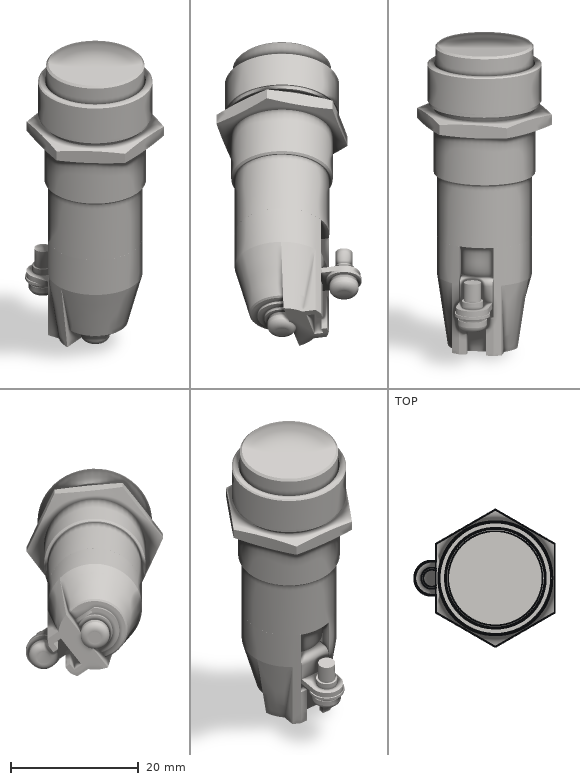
import cadquery as cq
import math


BEZEL_RADIUS = 8.95
BEZEL_TOP = 6.52
BEZEL_CHAMFER_WIDTH = 0.25
BEZEL_CHAMFER_HEIGHT = 0.18
GASKET_RADIUS = 8.7
GASKET_HEIGHT = 0.6
NECK_RADIUS = 7.95
NECK_BOTTOM = -11.45
NECK_CHAMFER = 0.3
BARREL_RADIUS = 7.4
BARREL_BOTTOM = -21.5

BUTTON_RADIUS = 7.7
BUTTON_TOP = 9.53
BUTTON_CHAMFER = 0.33
BUTTON_CLEARANCE = 0.2
POCKET_FLOOR = GASKET_HEIGHT

NUT_ACROSS_CORNERS = 21.5
NUT_TURN = 30.0
NUT_TOP = -0.83
NUT_THICKNESS = 2.6
NUT_SLOPE_ANGLE = 10.0

BASE_RADIUS = BARREL_RADIUS
TAPER_TOP = -27.7
CONE_BOTTOM = -36.45
CONE_ANGLE = 15.0
CONE_EDGE_CHAMFER = 0.22
WING_BOTTOM = -39.0
WING_END_RADIUS = 5.75
WING_FRONT_X = -1.5
RAIL_HALF_WIDTH = 3.95

SLOT_HALF_WIDTH = 2.75
SLOT_EDGE_X = -math.sqrt(BASE_RADIUS**2 - SLOT_HALF_WIDTH**2)
SLOT_BACK_X = -4.55
CORE_RADIUS = 5.2
CORE_CLEARANCE = 0.6
LIP_TOP = -32.9
LIP_THICKNESS = 0.9
LIP_GAP_HALF_WIDTH = 1.57

BLOCK_HALF_WIDTH = 2.6
BLOCK_TOP = -26.7
BLOCK_EDGE_RADIUS = 1.0
TAB_HALF_WIDTH = 2.58
TAB_TOP = -30.4
TAB_THICKNESS = 0.9
SIDE_SCREW_X = -9.93

PLATE_RADIUS = 3.84
PLATE_THICKNESS = 0.42
PLATE_FLAT_HALF_LENGTH = 2.17
NOTCH_HALF_LENGTH = 1.5

WASHER_RADIUS = 2.77
WASHER_THICKNESS = 0.45
SPRING_RADIUS = 2.1
SPRING_THICKNESS = 0.6
HEAD_RADIUS = 2.27
HEAD_STRAIGHT = 0.85
HEAD_DOME = 0.9
HEAD_FLAT_RADIUS = 1.0
COLLAR_RADIUS = 1.66
COLLAR_HEIGHT = 1.05
SHANK_RADIUS = 1.33
SHANK_TOP = -26.4


def cylinder(radius, bottom, top):
    return cq.Workplane("XY").workplane(offset=bottom).circle(radius).extrude(top - bottom)


def block(x_range, half_width, z_range):
    """Box symmetric about the XZ plane."""
    length = x_range[1] - x_range[0]
    height = z_range[1] - z_range[0]
    box = cq.Workplane("XY").box(length, 2 * half_width, height, centered=(False, True, False))
    return box.translate((x_range[0], 0, z_range[0]))


def revolved(outline):
    """Full turn about Z of an XZ outline that starts and ends on the axis."""
    return outline.close().revolve(360, (0, 0, 0), (0, 1, 0))


def cone(top_radius, bottom_radius, bottom, top):
    outline = cq.Workplane("XZ").moveTo(0, bottom).lineTo(bottom_radius, bottom)
    return revolved(outline.lineTo(top_radius, top).lineTo(0, top))


def make_housing():
    outline = (
        cq.Workplane("XZ")
        .moveTo(0, BARREL_BOTTOM)
        .lineTo(BARREL_RADIUS, BARREL_BOTTOM)
        .lineTo(BARREL_RADIUS, NECK_BOTTOM)
        .lineTo(NECK_RADIUS - NECK_CHAMFER, NECK_BOTTOM)
        .lineTo(NECK_RADIUS, NECK_BOTTOM + NECK_CHAMFER)
        .lineTo(NECK_RADIUS, 0)
        .lineTo(GASKET_RADIUS, 0)
        .lineTo(GASKET_RADIUS, GASKET_HEIGHT)
        .lineTo(BEZEL_RADIUS, GASKET_HEIGHT)
        .lineTo(BEZEL_RADIUS, BEZEL_TOP - BEZEL_CHAMFER_HEIGHT)
        .lineTo(BEZEL_RADIUS - BEZEL_CHAMFER_WIDTH, BEZEL_TOP)
        .lineTo(0, BEZEL_TOP)
    )
    housing = revolved(outline)
    return housing.cut(cylinder(BUTTON_RADIUS + BUTTON_CLEARANCE, POCKET_FLOOR, BEZEL_TOP))


def make_button():
    return cylinder(BUTTON_RADIUS, POCKET_FLOOR, BUTTON_TOP).faces(">Z").edges().chamfer(BUTTON_CHAMFER)


def make_nut():
    corner_radius = NUT_ACROSS_CORNERS / 2
    bottom = NUT_TOP - NUT_THICKNESS
    corner_drop = (corner_radius - NECK_RADIUS) * math.tan(math.radians(NUT_SLOPE_ANGLE))
    hexagon = (
        cq.Workplane("XY")
        .workplane(offset=bottom)
        .polygon(6, NUT_ACROSS_CORNERS)
        .extrude(NUT_THICKNESS)
        .rotate((0, 0, 0), (0, 0, 1), NUT_TURN)
    )
    slope_outline = (
        cq.Workplane("XZ")
        .moveTo(0, bottom)
        .lineTo(NECK_RADIUS, bottom)
        .lineTo(corner_radius, bottom + corner_drop)
        .lineTo(corner_radius, NUT_TOP - corner_drop)
        .lineTo(NECK_RADIUS, NUT_TOP)
        .lineTo(0, NUT_TOP)
    )
    return hexagon.intersect(revolved(slope_outline)).cut(cylinder(NECK_RADIUS, bottom, NUT_TOP))


def make_base_shell():
    cone_end_radius = BASE_RADIUS - (TAPER_TOP - CONE_BOTTOM) * math.tan(math.radians(CONE_ANGLE))
    front_cone = cone(BASE_RADIUS, cone_end_radius, CONE_BOTTOM, TAPER_TOP)
    front_cone = front_cone.faces("<Z").edges().chamfer(CONE_EDGE_CHAMFER)
    behind = (-BASE_RADIUS, WING_FRONT_X)
    wing_heights = (WING_BOTTOM, TAPER_TOP)
    wings = cone(BASE_RADIUS, WING_END_RADIUS, WING_BOTTOM, TAPER_TOP)
    wings = wings.intersect(block(behind, BASE_RADIUS, wing_heights))
    rails = cylinder(BASE_RADIUS, WING_BOTTOM, TAPER_TOP)
    rails = rails.intersect(block(behind, RAIL_HALF_WIDTH, wing_heights))
    top = cylinder(BASE_RADIUS, TAPER_TOP, BARREL_BOTTOM)
    return top.union(front_cone).union(wings).union(rails)


def cut_terminal_slot(base):
    core = cylinder(CORE_RADIUS, BLOCK_TOP, BARREL_BOTTOM)
    clearance = cylinder(CORE_RADIUS + CORE_CLEARANCE, BLOCK_TOP, BARREL_BOTTOM).cut(core)
    upper_slot = block((-BASE_RADIUS, 0), SLOT_HALF_WIDTH, (BLOCK_TOP, BARREL_BOTTOM)).cut(core)
    middle_slot = block((-BASE_RADIUS, SLOT_BACK_X), SLOT_HALF_WIDTH, (LIP_TOP, BLOCK_TOP))

    lip_back_x = SLOT_EDGE_X + LIP_THICKNESS
    inner_slot = block((lip_back_x, SLOT_BACK_X), SLOT_HALF_WIDTH, (WING_BOTTOM, LIP_TOP))
    mouth = block((-BASE_RADIUS, lip_back_x), LIP_GAP_HALF_WIDTH, (WING_BOTTOM, LIP_TOP))
    lip_trim = block((-BASE_RADIUS, SLOT_EDGE_X), SLOT_HALF_WIDTH, (WING_BOTTOM, LIP_TOP))
    for cutter in (clearance, upper_slot, middle_slot, inner_slot, mouth, lip_trim):
        base = base.cut(cutter)
    return base


def make_side_terminal():
    body = block((SLOT_EDGE_X, SLOT_BACK_X), BLOCK_HALF_WIDTH, (TAB_TOP, BLOCK_TOP))
    body = body.edges("<X and >Z").fillet(BLOCK_EDGE_RADIUS)
    tab_bottom = TAB_TOP - TAB_THICKNESS
    tab = block((SIDE_SCREW_X, SLOT_BACK_X), TAB_HALF_WIDTH, (tab_bottom, TAB_TOP))
    tab_end = cylinder(TAB_HALF_WIDTH, tab_bottom, TAB_TOP).translate((SIDE_SCREW_X, 0, 0))
    collar = cylinder(COLLAR_RADIUS, TAB_TOP, TAB_TOP + COLLAR_HEIGHT)
    shank = cylinder(SHANK_RADIUS, TAB_TOP, SHANK_TOP)
    screw = make_screw_head(tab_bottom).union(collar).union(shank).translate((SIDE_SCREW_X, 0, 0))
    return body.union(tab).union(tab_end).union(screw)


def make_screw_head(seat):
    """Washer, spring washer and domed head hanging below the height `seat`."""
    washer_bottom = seat - WASHER_THICKNESS
    head_top = washer_bottom - SPRING_THICKNESS
    dome_top = head_top - HEAD_STRAIGHT
    dome_bottom = dome_top - HEAD_DOME
    dome_width = HEAD_RADIUS - HEAD_FLAT_RADIUS
    dome_middle_radius = HEAD_FLAT_RADIUS + dome_width * math.sqrt(0.5)
    dome_middle_height = dome_top - HEAD_DOME * math.sqrt(0.5)
    outline = (
        cq.Workplane("XZ")
        .moveTo(0, seat)
        .lineTo(WASHER_RADIUS, seat)
        .lineTo(WASHER_RADIUS, washer_bottom)
        .lineTo(SPRING_RADIUS, washer_bottom)
        .lineTo(SPRING_RADIUS, head_top)
        .lineTo(HEAD_RADIUS, head_top)
        .lineTo(HEAD_RADIUS, dome_top)
        .threePointArc((dome_middle_radius, dome_middle_height), (HEAD_FLAT_RADIUS, dome_bottom))
        .lineTo(0, dome_bottom)
    )
    return revolved(outline)


def make_bottom_terminal():
    plate_bottom = CONE_BOTTOM - PLATE_THICKNESS
    flat_y = -math.sqrt(PLATE_RADIUS**2 - PLATE_FLAT_HALF_LENGTH**2)
    plate = cylinder(PLATE_RADIUS, plate_bottom, CONE_BOTTOM)
    beyond_flat = cq.Workplane("XY").box(
        2 * PLATE_RADIUS, PLATE_RADIUS, PLATE_THICKNESS, centered=(True, False, False)
    )
    plate = plate.cut(beyond_flat.translate((0, flat_y - PLATE_RADIUS, plate_bottom)))
    notch = (
        cq.Workplane("YZ")
        .moveTo(flat_y, CONE_BOTTOM)
        .lineTo(flat_y, plate_bottom)
        .lineTo(flat_y + PLATE_THICKNESS, plate_bottom)
        .close()
        .extrude(NOTCH_HALF_LENGTH, both=True)
    )
    return plate.cut(notch).union(make_screw_head(plate_bottom))


housing = make_housing()
button = make_button()
nut = make_nut()
base = cut_terminal_slot(make_base_shell())
base = base.union(make_side_terminal()).union(make_bottom_terminal())

result = cq.Compound.makeCompound([housing.val(), button.val(), nut.val(), *base.vals()])